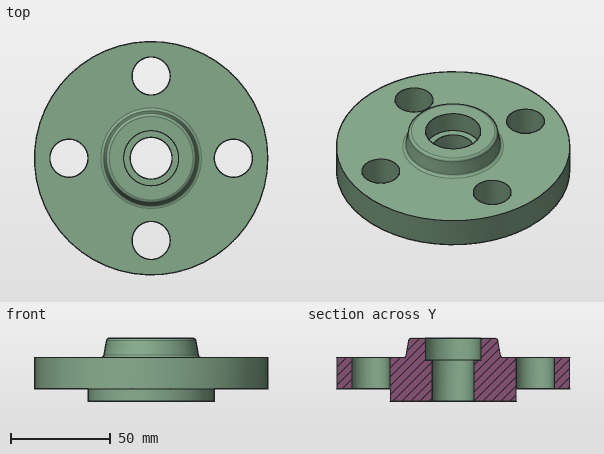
import cadquery as cq
import math

flange_diameter = 117.3
flange_thickness = 15.7

face_diameter = 63.5
face_height = 6.3

hub_base_diameter = 48.0
hub_height = 9.7
hub_taper = 10.0
hub_rounding = 1.5

bore_diameter = 20.9
socket_diameter = 27.7
socket_depth = 11.0

bolt_count = 4
bolt_circle_diameter = 82.6
bolt_hole_diameter = 19.0

flange_bottom = face_height
flange_top = flange_bottom + flange_thickness
hub_top = flange_top + hub_height

hub_base_radius = hub_base_diameter / 2
hub_top_radius = hub_base_radius - hub_height * math.tan(math.radians(hub_taper))


def make_blank():
    """Revolve the solid outline of raised face, disc and hub, then round the hub edges."""
    outline = [
        (0, 0),
        (face_diameter / 2, 0),
        (face_diameter / 2, flange_bottom),
        (flange_diameter / 2, flange_bottom),
        (flange_diameter / 2, flange_top),
        (hub_base_radius, flange_top),
        (hub_top_radius, hub_top),
        (0, hub_top),
    ]
    blank = cq.Workplane("XZ").polyline(outline).close().revolve(360, (0, 0, 0), (0, 1, 0))
    hub_root = cq.selectors.RadiusNthSelector(1)
    blank = blank.edges(hub_root).fillet(hub_rounding)
    return blank.edges(">Z").fillet(hub_rounding)


def drill(diameter, bottom, points):
    """Vertical cylinders from the given level up through the top of the hub."""
    cutter = cq.Workplane("XY").workplane(offset=bottom).pushPoints(points)
    return cutter.circle(diameter / 2).extrude(hub_top - bottom)


def bolt_points():
    """Hole centers, evenly spaced from the X axis."""
    radius = bolt_circle_diameter / 2
    angles = [2 * math.pi * i / bolt_count for i in range(bolt_count)]
    return [(radius * math.cos(a), radius * math.sin(a)) for a in angles]


axis_point = [(0, 0)]
result = (
    make_blank()
    .cut(drill(bore_diameter, 0, axis_point))
    .cut(drill(socket_diameter, hub_top - socket_depth, axis_point))
    .cut(drill(bolt_hole_diameter, 0, bolt_points()))
)